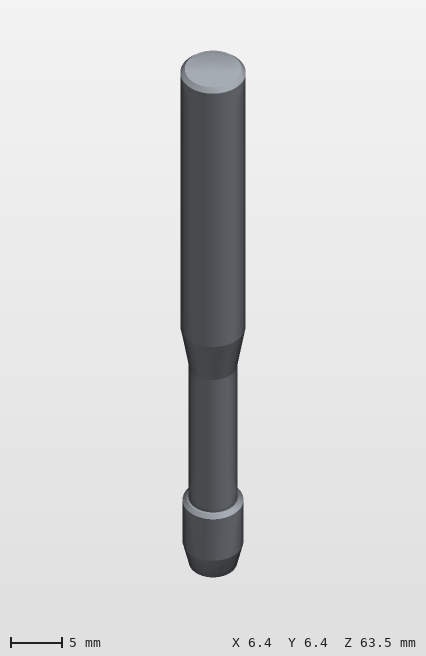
import cadquery as cq

total_length = 63.5

handle_diameter = 6.4
handle_chamfer = 0.45
handle_bottom = 30.4
neck_diameter = 4.75
taper_height = 4.95
taper_bottom = handle_bottom - taper_height

head_diameter = 6.0
head_tip_diameter = 4.75
head_tip_height = 2.65
head_chamfer = 0.4
head_height = 8.4


def revolve_profile(points):
    """Turn a half profile of (radius, z) points about the Z axis."""
    return cq.Workplane("XZ").polyline(points).close().revolve(360, (0, 0), (0, 1))


def make_shank():
    """Chamfered handle that tapers down to a neck standing on the head."""
    handle_radius = handle_diameter / 2
    neck_radius = neck_diameter / 2
    return revolve_profile([
        (0, head_height),
        (neck_radius, head_height),
        (neck_radius, taper_bottom),
        (handle_radius, handle_bottom),
        (handle_radius, total_length - handle_chamfer),
        (handle_radius - handle_chamfer, total_length),
        (0, total_length),
    ])


def make_head():
    """Collar at the lower end, narrowing to a flat tip."""
    head_radius = head_diameter / 2
    return revolve_profile([
        (0, 0),
        (head_tip_diameter / 2, 0),
        (head_radius, head_tip_height),
        (head_radius, head_height - head_chamfer),
        (head_radius - head_chamfer, head_height),
        (0, head_height),
    ])


shank = make_shank()
head = make_head()

result = cq.Compound.makeCompound([shank.val(), head.val()])